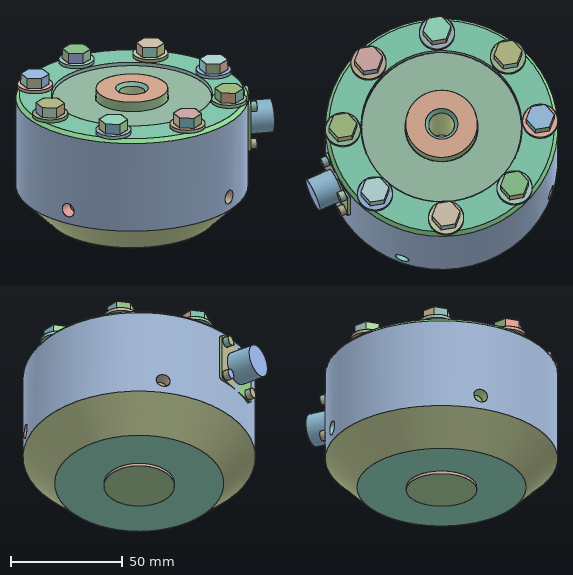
import cadquery as cq
import math

body_diameter = 104.65
body_radius = body_diameter / 2
overall_height = 66.75
bottom_boss_diameter = 31.75
bottom_boss_height = 1.4
cone_height = 14.3
cone_bottom_radius = body_radius - cone_height
cone_top_z = bottom_boss_height + cone_height
body_top_z = 60.35
rim_chamfer_height = 1.75
rim_chamfer_width = 1.6

recess_diameter = 72.52
cover_outer_diameter = 71.88
cover_inner_diameter = 32.89
cover_recess_depth = 1.52
cover_gap_depth = 1.0
cover_top_z = body_top_z - cover_recess_depth

hub_diameter = 32.26
hub_top_z = 63.3
hub_hole_diameter = 11.51
hub_countersink_diameter = 14.68
hub_countersink_angle = 90.0
hub_hole_depth = 30.0

bolt_count = 8
bolt_circle_radius = 44.45
first_bolt_angle = 7.5
washer_diameter = 15.88
washer_thickness = 1.52
hex_across_flats = 11.11
hex_sides = 6
hex_across_corners = hex_across_flats / math.cos(math.pi / hex_sides)

side_hole_count = 4
side_hole_diameter = 6.35
side_hole_depth = 6.35
side_hole_z = 22.3
first_side_hole_angle = 30.0

connector_angle = 75.0
connector_z = 44.4
connector_diameter = 15.2
connector_tip_radius = 63.98
flange_size = 24.0
flange_corner_radius = 1.585
flange_face_radius = 52.3
flange_depth = 3.0
screw_head_diameter = 4.65
screw_head_height = 2.9
screw_spacing = 18.2


def make_body():
    """Revolve the half profile of the body, its bottom boss and the recess in its top."""
    profile = (
        cq.Workplane("XZ")
        .moveTo(0, 0)
        .lineTo(bottom_boss_diameter / 2, 0)
        .lineTo(bottom_boss_diameter / 2, bottom_boss_height)
        .lineTo(cone_bottom_radius, bottom_boss_height)
        .lineTo(body_radius, cone_top_z)
        .lineTo(body_radius, body_top_z - rim_chamfer_height)
        .lineTo(body_radius - rim_chamfer_width, body_top_z)
        .lineTo(recess_diameter / 2, body_top_z)
        .lineTo(recess_diameter / 2, cover_top_z)
        .lineTo(0, cover_top_z)
        .close()
    )
    return profile.revolve(360, (0, 0, 0), (0, 1, 0))


def make_gap(outer_diameter, inner_diameter):
    """Ring-shaped cutter for one clearance gap at the edge of the cover."""
    return (
        cq.Workplane("XY", origin=(0, 0, cover_top_z - cover_gap_depth))
        .circle(outer_diameter / 2)
        .circle(inner_diameter / 2)
        .extrude(cover_gap_depth)
    )


def make_hub():
    """The part of the hub that stands above the cover."""
    return (
        cq.Workplane("XY", origin=(0, 0, cover_top_z))
        .circle(hub_diameter / 2)
        .extrude(hub_top_z - cover_top_z)
    )


def cut_hub_hole(part):
    """Blind hole in the hub with a countersunk mouth."""
    return (
        part.copyWorkplane(cq.Workplane("XY", origin=(0, 0, hub_top_z)))
        .cskHole(hub_hole_diameter, hub_countersink_diameter, hub_countersink_angle, hub_hole_depth)
    )


def make_bolts():
    """Washers and hex heads; every hexagon keeps its corners along X."""
    bolt_points = cq.Workplane("XY", origin=(0, 0, body_top_z)).polarArray(
        bolt_circle_radius, first_bolt_angle, 360, bolt_count, rotate=False
    )
    washers = bolt_points.circle(washer_diameter / 2).extrude(washer_thickness)
    heads = bolt_points.polygon(hex_sides, hex_across_corners).extrude(overall_height - body_top_z)
    return washers.union(heads)


def radial_plane(angle, radius, z):
    """Plane facing outward at a given angle and radius, with local Y pointing up."""
    outward = cq.Vector(math.cos(math.radians(angle)), math.sin(math.radians(angle)), 0)
    tangent = cq.Vector(-outward.y, outward.x, 0)
    return cq.Plane(outward * radius + cq.Vector(0, 0, z), tangent, outward)


def make_side_hole(angle):
    """Cutter for one radial hole, running from its flat end out past the wall."""
    plane = radial_plane(angle, body_radius - side_hole_depth, side_hole_z)
    return cq.Workplane(plane).circle(side_hole_diameter / 2).extrude(2 * side_hole_depth)


def make_connector():
    """Square flange sunk into the wall, with the connector shell and four screw heads on it."""
    face = radial_plane(connector_angle, flange_face_radius, connector_z)
    flange = (
        cq.Workplane(face)
        .rect(flange_size, flange_size)
        .extrude(-flange_depth)
        .edges(cq.selectors.ParallelDirSelector(face.zDir))
        .fillet(flange_corner_radius)
    )
    shell = (
        cq.Workplane(face)
        .circle(connector_diameter / 2)
        .extrude(connector_tip_radius - flange_face_radius)
    )
    screws = (
        cq.Workplane(face)
        .rect(screw_spacing, screw_spacing, forConstruction=True)
        .vertices()
        .circle(screw_head_diameter / 2)
        .extrude(screw_head_height)
    )
    return flange.union(shell).union(screws)


result = make_body()
result = result.cut(make_gap(recess_diameter, cover_outer_diameter))
result = result.cut(make_gap(cover_inner_diameter, hub_diameter))
result = cut_hub_hole(result.union(make_hub()))
result = result.union(make_bolts())
for hole_index in range(side_hole_count):
    hole_angle = first_side_hole_angle + hole_index * 360 / side_hole_count
    result = result.cut(make_side_hole(hole_angle))
result = result.union(make_connector())